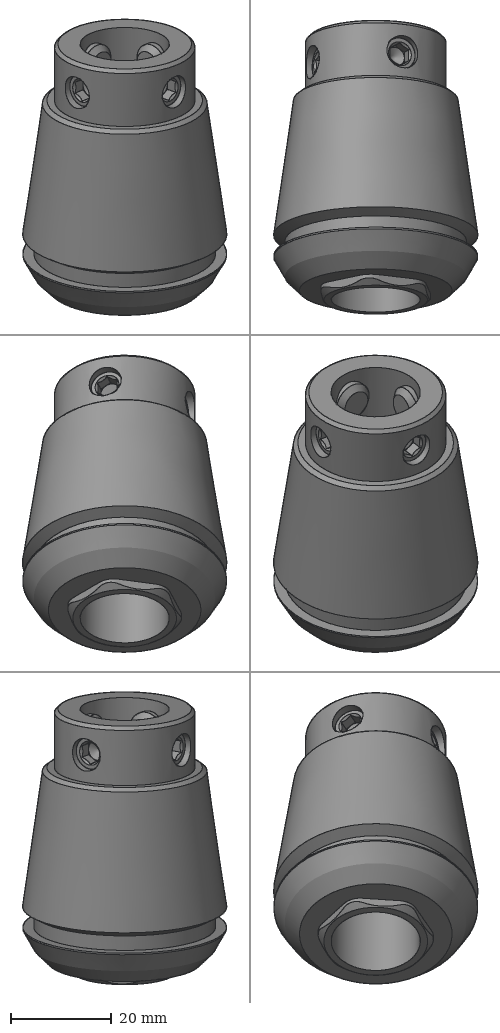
import cadquery as cq
import math

height = 54.0
bore_diameter = 17.7

collar_diameter = 27.95
collar_height = 12.05
edge_chamfer = 0.7

sleeve_top_diameter = 32.8
sleeve_bottom_diameter = 40.65
sleeve_bottom_z = 13.35
shoulder_chamfer_width = 0.9

groove_diameter = 36.2
groove_top_z = 12.1
groove_bottom_z = 9.1

rim_diameter = 40.55
rim_height = 0.3
upper_cone_bottom_diameter = 36.05
upper_cone_bottom_z = 4.8
lower_cone_angle = 45.0

wrench_flats = 21.0
wrench_corner_radius = 4.0
wrench_height = 1.95
wrench_end_diameter = 20.65

screw_count = 4
screw_z = 47.65
screw_diameter = 8.0
screw_length = 5.95
screw_tip_radius = 6.4
screw_tip_chamfer = 1.2
screw_hole_diameter = 6.65
screw_head_diameter = 6.5

socket_flats = 4.0
socket_depth = 2.5
socket_mouth_diameter = 4.9
socket_mouth_angle = 90.0
drill_point_angle = 120.0


def hexagon_corner_diameter(flats):
    return flats / math.cos(math.radians(30))


def make_body():
    collar_radius = collar_diameter / 2
    collar_bottom_z = height - collar_height
    sleeve_top_radius = sleeve_top_diameter / 2
    rim_radius = rim_diameter / 2
    upper_cone_bottom_radius = upper_cone_bottom_diameter / 2
    lower_cone_height = upper_cone_bottom_z - wrench_height
    lower_cone_width = lower_cone_height * math.tan(math.radians(lower_cone_angle))
    outline = [
        (0, wrench_height),
        (upper_cone_bottom_radius - lower_cone_width, wrench_height),
        (upper_cone_bottom_radius, upper_cone_bottom_z),
        (rim_radius, groove_bottom_z - rim_height),
        (rim_radius, groove_bottom_z),
        (groove_diameter / 2, groove_bottom_z),
        (groove_diameter / 2, groove_top_z),
        (sleeve_bottom_diameter / 2, sleeve_bottom_z),
        (sleeve_top_radius, collar_bottom_z - edge_chamfer),
        (sleeve_top_radius - shoulder_chamfer_width, collar_bottom_z),
        (collar_radius, collar_bottom_z),
        (collar_radius, height - edge_chamfer),
        (collar_radius - edge_chamfer, height),
        (0, height),
    ]
    return cq.Workplane("XZ").polyline(outline).close().revolve(360, (0, 0), (0, 1))


def make_wrench_hexagon():
    hexagon = (
        cq.Workplane("XY")
        .polygon(6, hexagon_corner_diameter(wrench_flats))
        .extrude(wrench_height)
        .edges("|Z")
        .fillet(wrench_corner_radius)
    )
    end_radius = wrench_end_diameter / 2
    bevel_cone = cq.Workplane(
        cq.Solid.makeCone(end_radius, end_radius + wrench_height, wrench_height)
    )
    return hexagon.intersect(bevel_cone)


def make_screw():
    """A set screw along X, chamfered at the tip that points to the axis."""
    return (
        cq.Workplane("YZ", origin=(screw_tip_radius, 0, screw_z))
        .circle(screw_diameter / 2)
        .extrude(screw_length)
        .faces("<X")
        .chamfer(screw_tip_chamfer)
    )


def make_screw_opening():
    """The hole outside the screw head together with the socket in the head, along X."""
    head_x = screw_tip_radius + screw_length
    head_plane = cq.Workplane("YZ", origin=(head_x, 0, screw_z))

    def inward_cone(diameter, angle):
        length = diameter / 2 / math.tan(math.radians(angle / 2))
        base = cq.Vector(head_x, 0, screw_z)
        return cq.Solid.makeCone(diameter / 2, 0, length, pnt=base, dir=cq.Vector(-1, 0, 0))

    bevel_height = (screw_hole_diameter - screw_head_diameter) / 2
    head_bevel = cq.Solid.makeCone(
        screw_hole_diameter / 2, screw_head_diameter / 2, bevel_height,
        pnt=cq.Vector(head_x - bevel_height, 0, screw_z), dir=cq.Vector(1, 0, 0),
    )
    hole = (
        head_plane.workplane(offset=-bevel_height)
        .circle(screw_hole_diameter / 2)
        .extrude(collar_diameter / 2)
        .cut(cq.Workplane(head_bevel))
    )

    hexagon = (
        head_plane.transformed(rotate=(0, 0, 90))
        .polygon(6, hexagon_corner_diameter(socket_flats))
        .extrude(-socket_depth)
    )
    mouth = inward_cone(socket_mouth_diameter, socket_mouth_angle)
    drill_point = inward_cone(socket_flats, drill_point_angle)
    drill_point = drill_point.translate(cq.Vector(-socket_depth, 0, 0))
    return hole.union(hexagon).union(cq.Workplane(mouth)).union(cq.Workplane(drill_point))


def around_axis(shape, index):
    return shape.rotate((0, 0, 0), (0, 0, 1), index * 360 / screw_count)


bore = cq.Workplane("XY").circle(bore_diameter / 2).extrude(height)
result = make_body().union(make_wrench_hexagon()).cut(bore)

screw = make_screw()
screw_opening = make_screw_opening()
for index in range(screw_count):
    result = result.union(around_axis(screw, index)).cut(around_axis(screw_opening, index))